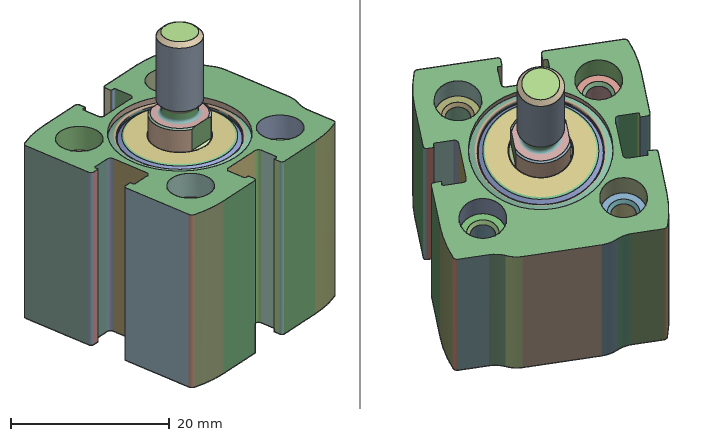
import cadquery as cq
import math

BODY_HEIGHT = 25.5
BODY_HALF = 14.5
TOTAL_HEIGHT = 40.5

SIDE_FLAT_HALF = 9.25
SIDE_ARC_RADIUS = 15.4
CORNER_FILLET = 0.6
HUMP_Y = 15.5
HUMP_TOP_HALF = 5.05
HUMP_FOOT_HALF = 9.15

SLOT_MOUTH_HALF = 2.6
SLOT_INNER_HALF = 3.25
SLOT_LIP = 1.35
SLOT_FLOOR = 10.0
SLOT_FLOOR_FILLET = 0.55
SLOT_LIP_FILLET = 0.2
SLOT_MOUTH_FILLET = 0.4

HOLE_OFFSET = 9.0
HOLE_DIA = 3.25
COUNTERSINK_DIA = 4.15
COUNTERBORE_DIA = 6.0
COUNTERBORE_DEPTH = 3.5

RECESS_DIA = 18.2
DISC_DEPTH = 0.3
GROOVE_DEPTH = 0.8
RIDGE_DIA = 16.0
RIDGE_SLOPE = 30
RIDGE_ROUND = 0.2
INNER_CONE_FOOT_DIA = 15.75
INNER_CONE_TOP_DIA = 14.62
DISC_DIA = 14.1
DISC_EDGE_DROP = 0.1
DISC_Z = BODY_HEIGHT - DISC_DEPTH

ROD_DIA = 8.0
ROD_END_Z = 17.4
ROD_SHOULDER_Z = 28.5
SHOULDER_CHAMFER_WIDTH = 0.3
SHOULDER_CHAMFER_HEIGHT = 0.15
FLAT_HALF = 3.52
FLAT_RUNOUT_SLOPE = 30
ROD_HOLE_CHAMFER = 0.12
THREAD_DIA = 6.0
THREAD_BOTTOM_Z = 30.55
THREAD_TIP_CHAMFER = 0.6
NECK_DIA = 4.7
NECK_FILLET = 0.4


def turn(points):
    """Solid of revolution about the Z axis from an outline of (radius, Z) points."""
    return cq.Workplane("XZ").polyline(points).close().revolve(360, (0, 0), (0, 1))


def body_block():
    """Extruded outline: bulged X sides and a hump on the +Y side, joined to it by S-curves."""
    side_arc_centre = BODY_HALF - SIDE_ARC_RADIUS
    arc_rise = BODY_HALF - SIDE_FLAT_HALF
    corner_angle = math.asin(arc_rise / SIDE_ARC_RADIUS)
    corner_x = side_arc_centre + SIDE_ARC_RADIUS * math.cos(corner_angle)
    arc_mid_x = side_arc_centre + SIDE_ARC_RADIUS * math.cos(corner_angle / 2)
    arc_mid_y = SIDE_FLAT_HALF + SIDE_ARC_RADIUS * math.sin(corner_angle / 2)
    hump_mid = ((HUMP_TOP_HALF + HUMP_FOOT_HALF) / 2, (BODY_HALF + HUMP_Y) / 2)

    half = (
        cq.Workplane("XY")
        .moveTo(0, -BODY_HALF)
        .lineTo(corner_x, -BODY_HALF)
        .threePointArc((arc_mid_x, -arc_mid_y), (BODY_HALF, -SIDE_FLAT_HALF))
        .lineTo(BODY_HALF, SIDE_FLAT_HALF)
        .threePointArc((arc_mid_x, arc_mid_y), (corner_x, BODY_HALF))
        .lineTo(HUMP_FOOT_HALF, BODY_HALF)
        .tangentArcPoint(hump_mid, relative=False)
        .tangentArcPoint((HUMP_TOP_HALF, HUMP_Y), relative=False)
        .lineTo(0, HUMP_Y)
        .close()
        .extrude(BODY_HEIGHT)
    )
    corners = cq.selectors.BoxSelector(
        (corner_x - CORNER_FILLET, -BODY_HALF - CORNER_FILLET, 0),
        (corner_x + CORNER_FILLET, BODY_HALF + CORNER_FILLET, BODY_HEIGHT),
    )
    half = half.edges("|Z").edges(corners).fillet(CORNER_FILLET)
    return half.union(half.mirror("YZ")).clean()


def t_slot():
    """T-slot cutter opening on the -Y side, with a mouth that flares outward as a quarter round."""
    lip_y = -BODY_HALF + SLOT_LIP
    cavity_depth = -SLOT_FLOOR - lip_y
    cavity = (
        cq.Workplane("XY")
        .center(0, lip_y + cavity_depth / 2)
        .rect(2 * SLOT_INNER_HALF, cavity_depth)
        .extrude(BODY_HEIGHT)
    )
    cavity = cavity.edges("|Z and >Y").fillet(SLOT_FLOOR_FILLET)
    cavity = cavity.edges("|Z and <Y").fillet(SLOT_LIP_FILLET)

    round_mid = SLOT_MOUTH_FILLET * (1 - math.sqrt(0.5))
    flare_half = SLOT_MOUTH_HALF + SLOT_MOUTH_FILLET
    mouth = (
        cq.Workplane("XY")
        .moveTo(-flare_half, -BODY_HALF)
        .lineTo(flare_half, -BODY_HALF)
        .threePointArc(
            (SLOT_MOUTH_HALF + round_mid, -BODY_HALF + round_mid),
            (SLOT_MOUTH_HALF, -BODY_HALF + SLOT_MOUTH_FILLET),
        )
        .lineTo(SLOT_MOUTH_HALF, -SLOT_FLOOR - SLOT_FLOOR_FILLET)
        .lineTo(-SLOT_MOUTH_HALF, -SLOT_FLOOR - SLOT_FLOOR_FILLET)
        .lineTo(-SLOT_MOUTH_HALF, -BODY_HALF + SLOT_MOUTH_FILLET)
        .threePointArc(
            (-SLOT_MOUTH_HALF - round_mid, -BODY_HALF + round_mid),
            (-flare_half, -BODY_HALF),
        )
        .close()
        .extrude(BODY_HEIGHT)
    )
    return cavity.union(mouth)


def mounting_hole():
    """Through hole with a countersink in the floor of a counterbore, cut as one turned shape."""
    floor_z = BODY_HEIGHT - COUNTERBORE_DEPTH
    countersink_depth = (COUNTERSINK_DIA - HOLE_DIA) / 2
    return turn([
        (0, 0),
        (HOLE_DIA / 2, 0),
        (HOLE_DIA / 2, floor_z - countersink_depth),
        (COUNTERSINK_DIA / 2, floor_z),
        (COUNTERBORE_DIA / 2, floor_z),
        (COUNTERBORE_DIA / 2, BODY_HEIGHT),
        (0, BODY_HEIGHT),
    ])


def face_recess():
    """Turned cutter for the top recess, leaving the centre disc and the rounded ridge around it."""
    groove_z = BODY_HEIGHT - GROOVE_DEPTH
    ridge_height = (RECESS_DIA - RIDGE_DIA) / 2 * math.tan(math.radians(RIDGE_SLOPE))
    recess = turn([
        (0, BODY_HEIGHT),
        (RECESS_DIA / 2, BODY_HEIGHT),
        (RECESS_DIA / 2, groove_z),
        (RIDGE_DIA / 2, groove_z + ridge_height),
        (RIDGE_DIA / 2, groove_z),
        (INNER_CONE_FOOT_DIA / 2, groove_z),
        (INNER_CONE_TOP_DIA / 2, DISC_Z - DISC_EDGE_DROP),
        (DISC_DIA / 2, DISC_Z),
        (0, DISC_Z),
    ])
    ridge_crest = recess.edges("%CIRCLE").edges(">>Z[-2]")
    return ridge_crest.fillet(RIDGE_ROUND)


def flat_cutter():
    """Cutter for the +X wrench flat; its floor slopes down and outward below the centre disc."""
    rod_radius = ROD_DIA / 2
    runout_drop = (rod_radius - FLAT_HALF) * math.tan(math.radians(FLAT_RUNOUT_SLOPE))
    return (
        cq.Workplane("XZ")
        .polyline([
            (FLAT_HALF, ROD_SHOULDER_Z),
            (FLAT_HALF, DISC_Z),
            (rod_radius, DISC_Z - runout_drop),
            (rod_radius, ROD_SHOULDER_Z),
        ])
        .close()
        .extrude(rod_radius, both=True)
    )


def rod():
    """Piston rod with a wrench-flat collar, an undercut neck and a chamfered threaded end."""
    rod_radius = ROD_DIA / 2
    thread_radius = THREAD_DIA / 2
    neck_radius = NECK_DIA / 2
    neck_top_z = THREAD_BOTTOM_Z - (thread_radius - neck_radius)
    turned = turn([
        (0, ROD_END_Z),
        (rod_radius, ROD_END_Z),
        (rod_radius, ROD_SHOULDER_Z - SHOULDER_CHAMFER_HEIGHT),
        (rod_radius - SHOULDER_CHAMFER_WIDTH, ROD_SHOULDER_Z),
        (neck_radius, ROD_SHOULDER_Z),
        (neck_radius, neck_top_z),
        (thread_radius, THREAD_BOTTOM_Z),
        (thread_radius, TOTAL_HEIGHT),
        (0, TOTAL_HEIGHT),
    ])
    turned = turned.faces(">Z").edges().chamfer(THREAD_TIP_CHAMFER)
    turned = turned.edges(cq.selectors.RadiusNthSelector(0)).fillet(NECK_FILLET)
    flat = flat_cutter()
    return turned.cut(flat).cut(flat.mirror("YZ"))


def rod_hole():
    """Blind hole that the rod fits, with a chamfered mouth."""
    mouth_radius = ROD_DIA / 2 + ROD_HOLE_CHAMFER
    return turn([
        (0, ROD_END_Z),
        (ROD_DIA / 2, ROD_END_Z),
        (ROD_DIA / 2, DISC_Z - ROD_HOLE_CHAMFER),
        (mouth_radius, DISC_Z),
        (0, DISC_Z),
    ])


def housing():
    """Cylinder housing with T-slots, mounting holes, ring grooves and the rod hole."""
    body = body_block()
    for angle in (-90, 0, 90):
        body = body.cut(t_slot().rotate((0, 0, 0), (0, 0, 1), angle))
    for x in (-HOLE_OFFSET, HOLE_OFFSET):
        for y in (-HOLE_OFFSET, HOLE_OFFSET):
            body = body.cut(mounting_hole().translate((x, y, 0)))
    return body.cut(face_recess()).cut(rod_hole())


result = cq.Compound.makeCompound([housing().val(), rod().val()])